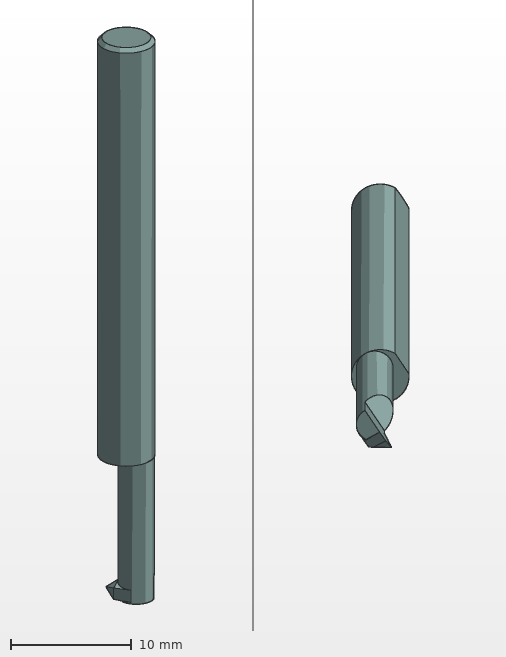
import cadquery as cq

total_length = 50.8
shank_radius = 2.4
flat_depth = 0.25
end_chamfer = 0.35

neck_radius = 1.5
neck_length = 12.85
neck_x = shank_radius - neck_radius

relief_height = 1.95

tip_x = -1.8
tip_z = 0.55
tooth_corner_x = -0.6
tooth_top = 1.4
shoulder_x = -0.65
nose_x = -0.85
nose_z = 0.1
end_face_x = 0.1
clearance_angle = 6.0


def make_shank():
    """Round shank with a chamfered end and a full-length flat on +Y."""
    shank = (
        cq.Workplane("XY", origin=(0, 0, neck_length))
        .circle(shank_radius)
        .extrude(total_length - neck_length)
        .faces(">Z")
        .chamfer(end_chamfer)
    )
    flat_cut = (
        cq.Workplane("XY")
        .box(2 * shank_radius, shank_radius, total_length, centered=(True, False, False))
        .translate((0, shank_radius - flat_depth, 0))
    )
    return shank.cut(flat_cut)


def make_neck():
    """Neck cut down to its -Y half at the tip, with a 45 degree run-out."""
    neck = cq.Workplane("XY").center(neck_x, 0).circle(neck_radius).extrude(neck_length)
    relief = (
        cq.Workplane("YZ")
        .polyline([
            (0, 0),
            (0, relief_height),
            (neck_radius, relief_height + neck_radius),
            (neck_radius, 0),
        ])
        .close()
        .extrude(shank_radius, both=True)
    )
    end_clearance = (
        cq.Workplane("XY")
        .box(2 * neck_radius, 2 * neck_radius, tip_z, centered=(False, True, False))
        .translate((end_face_x - 2 * neck_radius, 0, 0))
    )
    return neck.cut(relief).cut(end_clearance)


def make_tooth():
    """Pointed side profile with relieved faces, trimmed by the tapered flank in plan."""
    side_profile = (
        cq.Workplane("XZ")
        .polyline([
            (shank_radius, 0),
            (end_face_x, 0),
            (nose_x, nose_z),
            (tip_x, tip_z),
            (shoulder_x, tooth_top),
            (shank_radius, tooth_top),
        ])
        .close()
        .extrude(neck_radius, taper=clearance_angle)
    )
    plan = (
        cq.Workplane("XY")
        .polyline([
            (tip_x, 0),
            (tooth_corner_x, -neck_radius),
            (neck_x, -neck_radius),
            (neck_x, 0),
        ])
        .close()
        .extrude(tooth_top)
    )
    return side_profile.intersect(plan)


result = make_shank().union(make_neck()).union(make_tooth())